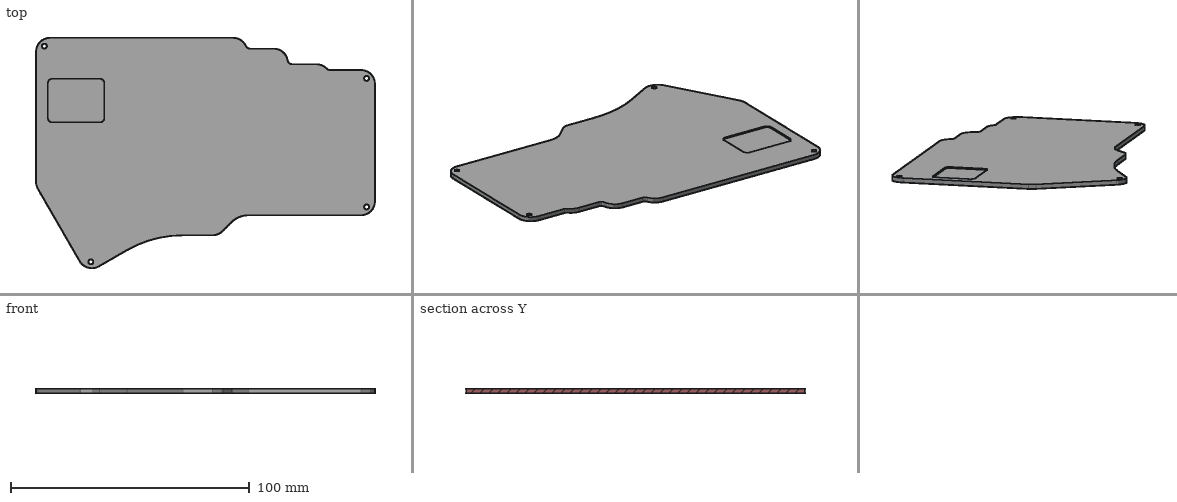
import cadquery as cq
import math

LENGTH = 142.0
WIDTH = 96.5
THICKNESS = 2.0

CORNER_RADIUS = 6.0
STEP_INNER_RADIUS = 2.0
RAMP_INNER_RADIUS = 10.0
SWEEP_RADIUS = 46.9

LEVEL_2 = 92.0
LEVEL_3 = 85.5
LEVEL_4 = 83.0
STEP_1_START = 82.5
STEP_2_START = 99.5
STEP_3_START = 117.5

FRONT_RIGHT_Y = 22.2
FRONT_MIDDLE_Y = 13.8
RAMP_TOP_X = 84.8

TONGUE_ANGLE = math.radians(30)
TONGUE_CENTER_X = 23.5

HOLE_DIAMETER = 2.0
HOLE_INSET = 3.5
TONGUE_HOLE = (23.0, 2.7)

POCKET_LENGTH = 23.7
POCKET_WIDTH = 18.3
POCKET_LEFT = 5.0
POCKET_FRONT = 61.0
POCKET_RADIUS = 2.0
POCKET_DEPTH = 0.5

TOLERANCE = 1.42e-06


def step_corners(start_x, upper_y, lower_y):
    """Sharp corners of a falling step whose two roundings meet without a straight."""
    radius_sum = CORNER_RADIUS + STEP_INNER_RADIUS
    turn = math.acos(1 - (upper_y - lower_y) / radius_sum)
    half_tangent = math.tan(turn / 2)
    upper_x = start_x + CORNER_RADIUS * half_tangent
    lower_x = start_x + radius_sum * math.sin(turn) - STEP_INNER_RADIUS * half_tangent
    return [(upper_x, upper_y, CORNER_RADIUS), (lower_x, lower_y, STEP_INNER_RADIUS)]


def tongue_corners():
    """Sharp corners from the front sweep, round the tongue, to the left side."""
    cos_a = math.cos(TONGUE_ANGLE)
    sin_a = math.sin(TONGUE_ANGLE)
    tip_x = TONGUE_CENTER_X + CORNER_RADIUS * (sin_a - cos_a)
    tip_y = CORNER_RADIUS - CORNER_RADIUS * (cos_a + sin_a)
    sweep_x = tip_x + (FRONT_MIDDLE_Y - tip_y) / math.tan(TONGUE_ANGLE)
    left_y = tip_y + tip_x / math.tan(TONGUE_ANGLE)
    return [
        (sweep_x, FRONT_MIDDLE_Y, SWEEP_RADIUS),
        (tip_x, tip_y, CORNER_RADIUS),
        (0, left_y, CORNER_RADIUS),
    ]


def round_corner(before, corner, after):
    """Start, middle and end of the arc that rounds a corner (x, y, radius)."""
    point = cq.Vector(*corner[:2])
    to_before = (cq.Vector(*before[:2]) - point).normalized()
    to_after = (cq.Vector(*after[:2]) - point).normalized()
    half_angle = to_before.getAngle(to_after) / 2
    setback = corner[2] / math.tan(half_angle)
    apex_gap = corner[2] / math.sin(half_angle) - corner[2]
    bisector = (to_before + to_after).normalized()
    return point + to_before * setback, point + bisector * apex_gap, point + to_after * setback


def rounded_outline(corners):
    """Closed wire through the corners, each replaced by its tangent arc."""
    count = len(corners)
    arcs = [
        round_corner(corners[i - 1], corners[i], corners[(i + 1) % count])
        for i in range(count)
    ]
    edges = []
    for i, (start, middle, end) in enumerate(arcs):
        edges.append(cq.Edge.makeThreePointArc(start, middle, end))
        next_start = arcs[(i + 1) % count][0]
        if (next_start - end).Length > TOLERANCE:
            edges.append(cq.Edge.makeLine(end, next_start))
    return cq.Wire.assembleEdges(edges)


def make_plate():
    """Flat plate, its outline running clockwise from the back left corner."""
    ramp_bottom_x = RAMP_TOP_X - (FRONT_RIGHT_Y - FRONT_MIDDLE_Y)
    corners = [
        (0, WIDTH, CORNER_RADIUS),
        *step_corners(STEP_1_START, WIDTH, LEVEL_2),
        *step_corners(STEP_2_START, LEVEL_2, LEVEL_3),
        *step_corners(STEP_3_START, LEVEL_3, LEVEL_4),
        (LENGTH, LEVEL_4, CORNER_RADIUS),
        (LENGTH, FRONT_RIGHT_Y, CORNER_RADIUS),
        (RAMP_TOP_X, FRONT_RIGHT_Y, RAMP_INNER_RADIUS),
        (ramp_bottom_x, FRONT_MIDDLE_Y, CORNER_RADIUS),
        *tongue_corners(),
    ]
    return cq.Workplane("XY").add(rounded_outline(corners)).toPending().extrude(THICKNESS)


def make_holes():
    centers = [
        (HOLE_INSET, WIDTH - HOLE_INSET),
        (LENGTH - HOLE_INSET, LEVEL_4 - HOLE_INSET),
        (LENGTH - HOLE_INSET, FRONT_RIGHT_Y + HOLE_INSET),
        TONGUE_HOLE,
    ]
    return cq.Workplane("XY").pushPoints(centers).circle(HOLE_DIAMETER / 2).extrude(THICKNESS)


def make_pocket():
    return (
        cq.Workplane("XY")
        .box(POCKET_LENGTH, POCKET_WIDTH, POCKET_DEPTH, centered=False)
        .edges("|Z")
        .fillet(POCKET_RADIUS)
        .translate((POCKET_LEFT, POCKET_FRONT, THICKNESS - POCKET_DEPTH))
    )


result = make_plate().cut(make_holes()).cut(make_pocket())